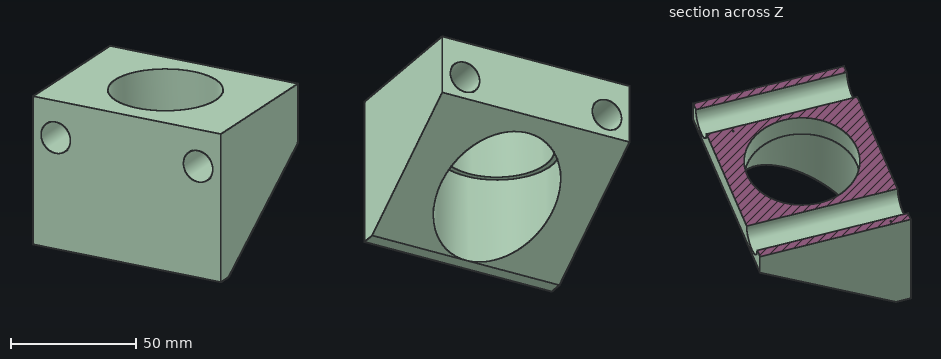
import cadquery as cq

width = 85.85
depth = 63.5
height = 63.5

foot_depth = depth / 10
back_face_height = 0.4 * height

bore_diameter = 46.0

lower_bore_diameter = 50.8
lower_bore_height = height - back_face_height

mount_hole_diameter = 13.4
mount_hole_spacing = 65.0
mount_hole_drop = 15.8


def wedge_block():
    """Side profile in the YZ plane, extruded symmetrically along X."""
    front = -depth / 2
    back = depth / 2
    profile = [
        (front, 0),
        (front + foot_depth, 0),
        (back, height - back_face_height),
        (back, height),
        (front, height),
    ]
    return cq.Workplane("YZ").polyline(profile).close().extrude(width / 2, both=True)


def bore():
    """Stepped cylinder through the full height on the block's vertical axis."""
    through_bore = cq.Workplane("XY").circle(bore_diameter / 2).extrude(height)
    lower_bore = cq.Workplane("XY").circle(lower_bore_diameter / 2).extrude(lower_bore_height)
    return through_bore.union(lower_bore)


def mounting_holes():
    """Two cylinders through the full depth, mirrored about the YZ plane."""
    axis_height = height - mount_hole_drop
    centres = [(side * mount_hole_spacing / 2, axis_height) for side in (-1, 1)]
    return (
        cq.Workplane("XZ")
        .pushPoints(centres)
        .circle(mount_hole_diameter / 2)
        .extrude(depth / 2, both=True)
    )


result = wedge_block().cut(bore()).cut(mounting_holes())